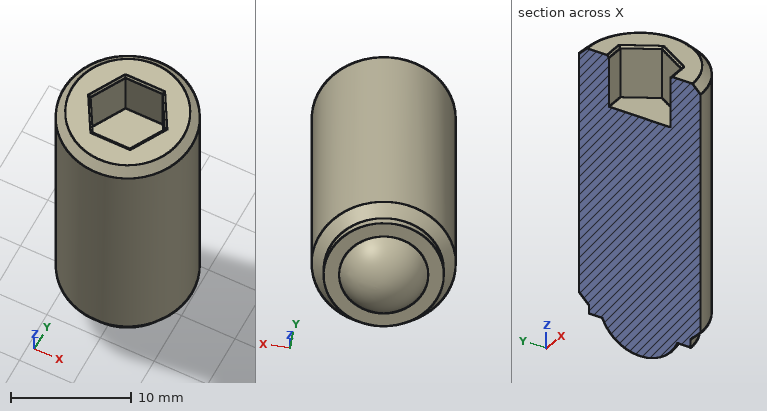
import cadquery as cq
import math

body_diameter = 12.0
total_length = 28.5
top_chamfer = 0.8
nose_diameter = 10.0
nose_length = 0.8
ball_diameter = 8.0
ball_protrusion = 2.5
hex_sides = 6
hex_across_flats = 6.0
hex_depth = 5.0
hex_mouth_bevel = 0.2

body_radius = body_diameter / 2
nose_radius = nose_diameter / 2
nose_end_z = ball_protrusion
shoulder_z = nose_end_z + nose_length
bottom_chamfer = body_radius - nose_radius
ball_radius = ball_diameter / 2
hex_corner_ratio = math.cos(math.pi / hex_sides)
hex_corner_diameter = hex_across_flats / hex_corner_ratio
mouth_corner_diameter = (hex_across_flats + 2 * hex_mouth_bevel) / hex_corner_ratio


def make_body():
    """Revolved cylinder with chamfered ends and a reduced nose."""
    profile = [
        (0, nose_end_z),
        (nose_radius, nose_end_z),
        (nose_radius, shoulder_z),
        (body_radius, shoulder_z + bottom_chamfer),
        (body_radius, total_length - top_chamfer),
        (body_radius - top_chamfer, total_length),
        (0, total_length),
    ]
    return cq.Workplane("XZ").polyline(profile).close().revolve(axisStart=(0, 0), axisEnd=(0, 1))


def make_ball():
    """Ball seated in the nose, its lowest point at Z = 0."""
    return cq.Workplane("XY").sphere(ball_radius).translate((0, 0, ball_radius))


def make_hex_socket():
    """Hexagonal key socket with a bevelled mouth, two corners in line with the X axis."""
    socket = (
        cq.Workplane("XY")
        .workplane(offset=total_length - hex_depth)
        .polygon(hex_sides, hex_corner_diameter)
        .extrude(hex_depth)
    )
    mouth = (
        cq.Workplane("XY")
        .workplane(offset=total_length - hex_mouth_bevel)
        .polygon(hex_sides, hex_corner_diameter)
        .workplane(offset=hex_mouth_bevel)
        .polygon(hex_sides, mouth_corner_diameter)
        .loft(ruled=True)
    )
    return socket.union(mouth)


result = make_body().union(make_ball()).cut(make_hex_socket())